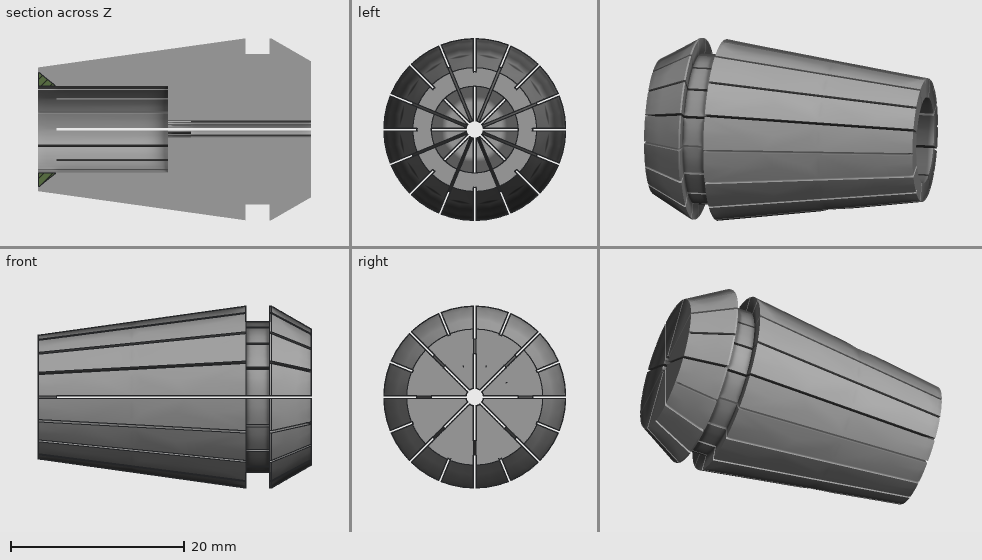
import cadquery as cq
import math

length = 31.5
max_radius = 10.5
front_radius = 7.14
rear_radius = 7.85

body_end = 23.95
flange_start = 26.7
flange_rim_width = 0.2
groove_radius = 8.7

bore_radius = 1.0
counterbore_radius = 5.0
counterbore_depth = 15.0

slot_width = 0.3
slots_per_set = 8
slot_pitch = 360 / slots_per_set
blade_radius = 40.0
front_slot_stop_radius = 7.75
front_slot_overcut = 0.35
rear_slot_stop_radius = 6.7
rear_slot_overcut = 3.0


def collet_blank():
    """Revolve the outer tapers, the lock groove and the stepped bore about X."""
    profile = (
        cq.Workplane("XY")
        .moveTo(0, counterbore_radius)
        .lineTo(0, front_radius)
        .lineTo(body_end, max_radius)
        .lineTo(body_end, groove_radius)
        .lineTo(flange_start, groove_radius)
        .lineTo(flange_start, max_radius)
        .lineTo(flange_start + flange_rim_width, max_radius)
        .lineTo(length, rear_radius)
        .lineTo(length, bore_radius)
        .lineTo(counterbore_depth, bore_radius)
        .lineTo(counterbore_depth, counterbore_radius)
        .close()
    )
    return profile.revolve(360, (0, 0, 0), (1, 0, 0))


def arc_run(height):
    """Axial distance over which the saw arc climbs to a height above its lowest point."""
    return math.sqrt(blade_radius**2 - (blade_radius - height) ** 2)


def slot_cutter(open_x, stop_x, stop_radius, overcut):
    """Slot along +Z, open at open_x; its floor climbs on a saw arc to stop_radius at stop_x.

    The straight part of the floor lies past the axis by the overcut.
    """
    toward_stop = math.copysign(1, stop_x - open_x)
    arc_start = stop_x - toward_stop * arc_run(stop_radius + overcut)
    full_height = max_radius + overcut
    top_x = arc_start + toward_stop * arc_run(full_height)
    middle_height = full_height / 2
    middle_x = arc_start + toward_stop * arc_run(middle_height)
    return (
        cq.Workplane("XZ")
        .moveTo(open_x, -overcut)
        .lineTo(arc_start, -overcut)
        .threePointArc((middle_x, middle_height - overcut), (top_x, max_radius))
        .lineTo(open_x, max_radius)
        .close()
        .extrude(slot_width / 2, both=True)
    )


def cut_slot_set(body, cutter, first_angle):
    """Cut one ring of equally spaced slots."""
    for index in range(slots_per_set):
        angle = first_angle + index * slot_pitch
        body = body.cut(cutter.rotate((0, 0, 0), (1, 0, 0), angle))
    return body


front_slot = slot_cutter(0, length, front_slot_stop_radius, front_slot_overcut)
rear_slot = slot_cutter(length, 0, rear_slot_stop_radius, rear_slot_overcut)

result = cut_slot_set(collet_blank(), rear_slot, 0)
result = cut_slot_set(result, front_slot, slot_pitch / 2)